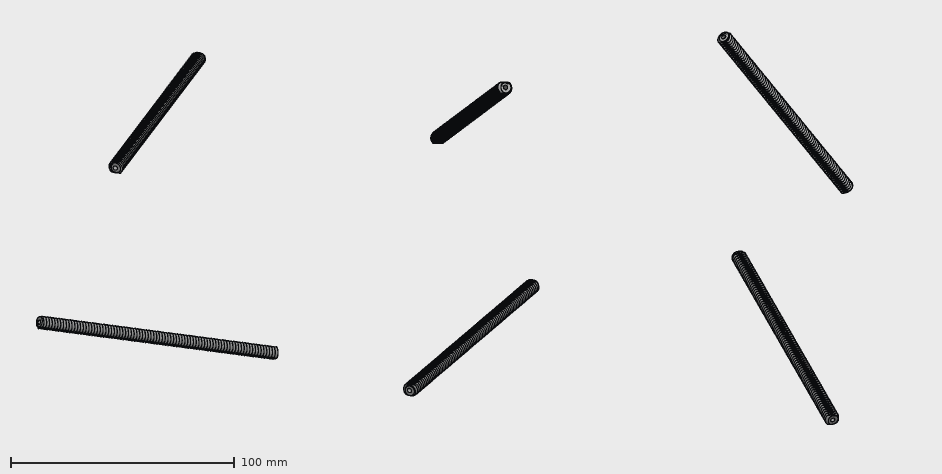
import cadquery as cq
import math

rod_length = 125.62
thread_diameter = 6.6
flat_thickness = 5.0
bore_diameter = 2.0
end_face_diameter = 5.0

pitch = 1.5
half_angle = math.radians(30)
root_flat = 0.02
first_crest = 0.74
foot_overlap = 0.005

crest_radius = thread_diameter / 2
ridge_width = pitch - root_flat
core_radius = crest_radius - ridge_width / 2 / math.tan(half_angle)


def make_core():
    """Plain cylinder standing on the XY plane."""
    return cq.Workplane("XY").circle(core_radius).extrude(rod_length)


def make_ridge():
    """V-shaped helical ridge about Z that overruns both ends of the core."""
    foot_radius = core_radius - foot_overlap
    foot_half_width = (crest_radius - foot_radius) * math.tan(half_angle)
    profile = [(foot_radius, -foot_half_width), (crest_radius, 0), (foot_radius, foot_half_width)]

    helices = [cq.Wire.makeHelix(pitch, pitch, radius).translate(cq.Vector(0, 0, z)) for radius, z in profile]
    turn_sides = [
        cq.Face.makeRuledSurface(helix, next_helix)
        for helix, next_helix in zip(helices, helices[1:] + helices[:1])
    ]
    turns = math.ceil(rod_length / pitch) + 2
    sides = [side.translate(cq.Vector(0, 0, turn * pitch)) for turn in range(turns) for side in turn_sides]

    corners = [cq.Vector(radius, 0, z) for radius, z in profile]
    start_cap = cq.Face.makeFromWires(cq.Wire.makePolygon(corners, close=True))
    end_cap = start_cap.translate(cq.Vector(0, 0, turns * pitch))
    ridge = cq.Solid.makeSolid(cq.Shell.makeShell(sides + [start_cap, end_cap]))

    quarter_turn = 90
    ridge_start = first_crest - pitch
    return cq.Workplane(ridge).rotate((0, 0, 0), (0, 0, 1), quarter_turn).translate((0, 0, ridge_start))


def make_envelope():
    """Bar with tapered ends and two parallel flats, which trims the threaded core."""
    outer_radius = crest_radius + pitch
    end_radius = end_face_diameter / 2
    taper_length = (outer_radius - end_radius) * math.tan(half_angle)
    bar = (
        cq.Workplane("XZ")
        .lineTo(end_radius, 0)
        .lineTo(outer_radius, taper_length)
        .lineTo(outer_radius, rod_length - taper_length)
        .lineTo(end_radius, rod_length)
        .lineTo(0, rod_length)
        .close()
        .revolve(360, (0, 0, 0), (0, 1, 0))
    )
    slab = cq.Workplane("XY").box(2 * outer_radius, flat_thickness, rod_length, centered=(True, True, False))
    return bar.intersect(slab)


def make_bore():
    """Round hole through the full length."""
    return cq.Workplane("XY").circle(bore_diameter / 2).extrude(rod_length)


threaded_core = make_core().union(make_ridge())
upright_rod = threaded_core.intersect(make_envelope()).cut(make_bore())

result = upright_rod.rotate((0, 0, 0), (1, 0, 0), -90)